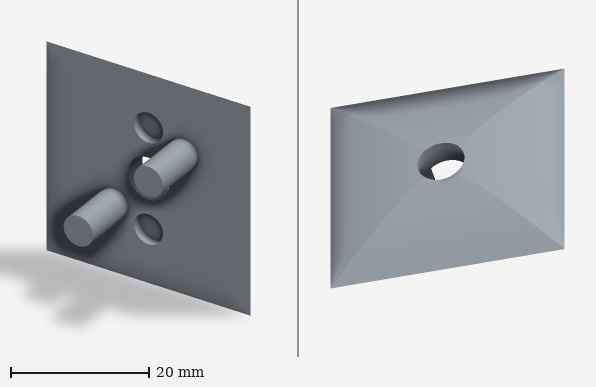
import cadquery as cq
import math

side = 35.0
crown_height = 4.0
center_hole_diameter = 7.0

peg_diameter = 5.0
peg_length = 9.5
socket_depth = 1.5
pitch_radius = 8.5
peg_angles = (45, 225)
socket_angles = (90, 270)


def crown_profile(plane):
    """Circular segment on the side chord, extruded symmetrically over the full side."""
    return (
        cq.Workplane(plane)
        .moveTo(-side / 2, 0)
        .threePointArc((0, crown_height), (side / 2, 0))
        .close()
        .extrude(side / 2, both=True)
    )


def cylinder_at(angle, start_y, end_y):
    """Peg-sized cylinder along Y, placed on the pitch circle."""
    x = pitch_radius * math.cos(math.radians(angle))
    z = pitch_radius * math.sin(math.radians(angle))
    return cq.Workplane(
        cq.Solid.makeCylinder(
            peg_diameter / 2, end_y - start_y, cq.Vector(x, start_y, z), cq.Vector(0, 1, 0)
        )
    )


curved_along_x = crown_profile("XY")
curved_along_z = crown_profile(cq.Plane(origin=(0, 0, 0), xDir=(0, 0, 1), normal=(-1, 0, 0)))
result = curved_along_x.intersect(curved_along_z)

center_hole = cq.Workplane("XZ").circle(center_hole_diameter / 2).extrude(-crown_height)
result = result.cut(center_hole)

for angle in socket_angles:
    result = result.cut(cylinder_at(angle, 0, socket_depth))

for angle in peg_angles:
    result = result.union(cylinder_at(angle, -peg_length, 0))